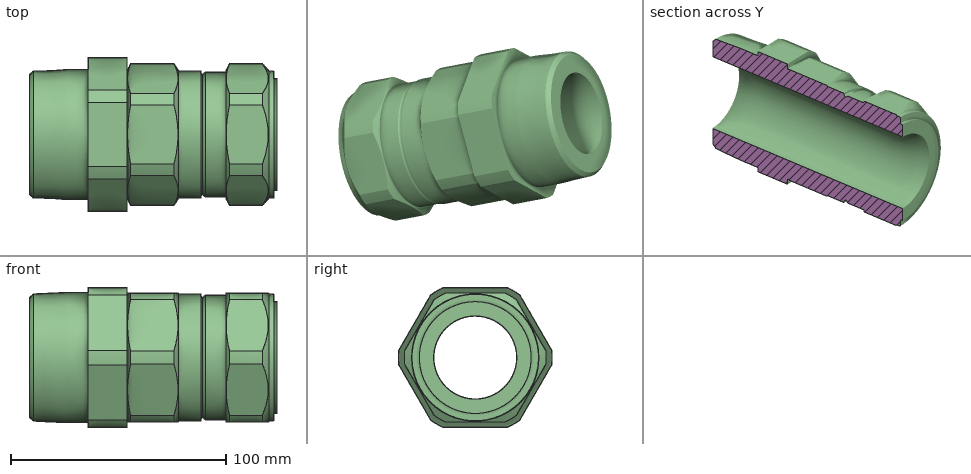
import cadquery as cq
import math

HEX_SIDES = 6

total_length = 115.15
bore_radius = 19.25

lead_chamfer_end = 1.9
taper_end = 17.5
collar_start = 27.3
collar_end = 45.45
body_hex_end = 69.35
sleeve_end = 79.7
groove_floor_x = 80.4
groove_end = 81.8
nut_start = 91.3
nut_end = 111.4
rim_step_x = 112.6
rim_end = 113.7

lead_radius = 27.85
taper_start_radius = 29.6
spigot_radius = 30.3
sleeve_radius = 29.6
groove_edge_radius = 28.7
groove_floor_radius = 27.8
neck_radius = 29.0
rim_radius = 29.6
rim_end_radius = 29.4
seal_radius = 26.0

collar_across_flats = 65.0
collar_corner_radius = 35.75
hex_across_flats = 60.0
hex_corner_radius = 33.0
hex_chamfer_radius = 29.6

body_hex_front_chamfer = 1.6
body_hex_rear_chamfer = 2.15
nut_front_chamfer = 1.75
nut_rear_chamfer = 3.1


def revolve_profile(points):
    """Revolve an (x, radius) outline about the X axis."""
    axis_start = (points[0][0], 0)
    axis_end = (points[-1][0], 0)
    outline = [axis_start] + points + [axis_end]
    return cq.Workplane("XZ").polyline(outline).close().revolve(360, (0, 0, 0), (1, 0, 0))


def hex_prism(start, end, across_flats):
    """Hexagonal prism along X with flats facing +Z and -Z."""
    vertex_radius = across_flats / 2 / math.cos(math.pi / HEX_SIDES)
    vertices = []
    for index in range(HEX_SIDES):
        angle = 2 * math.pi * index / HEX_SIDES
        vertices.append((vertex_radius * math.cos(angle), vertex_radius * math.sin(angle)))
    return cq.Workplane("YZ", origin=(start, 0, 0)).polyline(vertices).close().extrude(end - start)


def collar():
    envelope = revolve_profile([(collar_start, collar_corner_radius), (collar_end, collar_corner_radius)])
    return hex_prism(collar_start, collar_end, collar_across_flats).intersect(envelope)


def chamfered_hex(start, end, front_chamfer, rear_chamfer):
    envelope = revolve_profile([
        (start, hex_chamfer_radius),
        (start + front_chamfer, hex_corner_radius),
        (end - rear_chamfer, hex_corner_radius),
        (end, hex_chamfer_radius),
    ])
    return hex_prism(start, end, hex_across_flats).intersect(envelope)


def turned_body():
    return revolve_profile([
        (0, lead_radius),
        (lead_chamfer_end, taper_start_radius),
        (taper_end, spigot_radius),
        (collar_end, spigot_radius),
        (collar_end, sleeve_radius),
        (sleeve_end, sleeve_radius),
        (sleeve_end, groove_edge_radius),
        (groove_floor_x, groove_floor_radius),
        (groove_end, neck_radius),
        (nut_start, neck_radius),
        (nut_start, rim_radius),
        (rim_step_x, rim_radius),
        (rim_end, rim_end_radius),
        (rim_end, seal_radius),
        (total_length, seal_radius),
    ])


def bore():
    return cq.Workplane("YZ").circle(bore_radius).extrude(total_length)


body_hex = chamfered_hex(collar_end, body_hex_end, body_hex_front_chamfer, body_hex_rear_chamfer)
nut = chamfered_hex(nut_start, nut_end, nut_front_chamfer, nut_rear_chamfer)
result = turned_body().union(collar()).union(body_hex).union(nut).cut(bore())